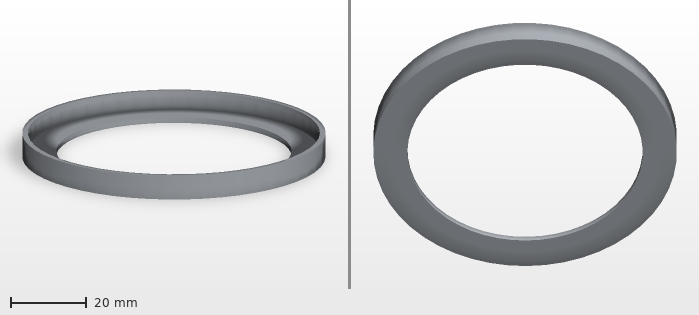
import cadquery as cq

outer_diameter = 80.0
recess_diameter = 77.0
bore_diameter = 62.0
height = 6.5
floor_thickness = 1.5


def make_body():
    """Plain disc with its underside on the XY plane."""
    return cq.Workplane("XY").circle(outer_diameter / 2).extrude(height)


def cut_recess(body):
    """Open the top down to the floor, leaving a thin upright rim."""
    recess_depth = height - floor_thickness
    return body.faces(">Z").workplane().circle(recess_diameter / 2).cutBlind(-recess_depth)


def cut_bore(body):
    """Cut the central opening through the floor."""
    bore = cq.Workplane("XY").circle(bore_diameter / 2).extrude(height)
    return body.cut(bore)


result = cut_bore(cut_recess(make_body()))